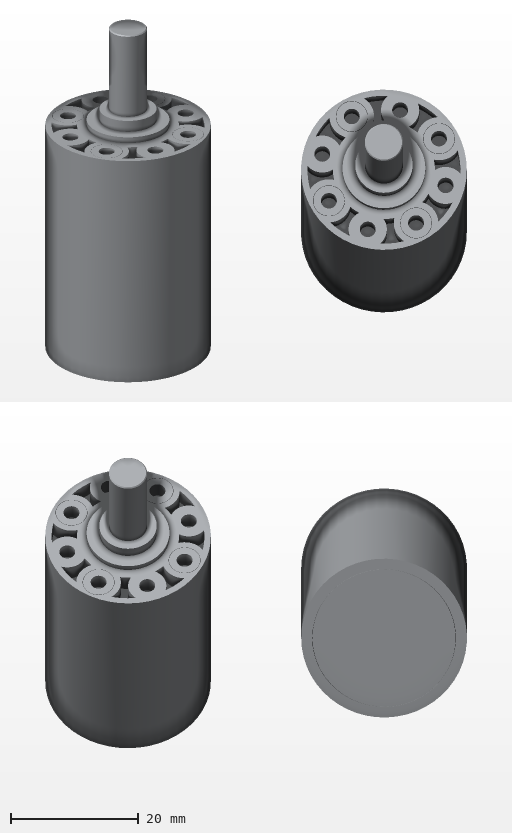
import cadquery as cq
import math

TOTAL_HEIGHT = 55.5
HOUSING_DIAMETER = 26.0

FLANGE_DIAMETER = 13.0
FLANGE_HEIGHT = 1.0
COLLAR_DIAMETER = 9.0
COLLAR_HEIGHT = 1.9

SHAFT_DIAMETER = 6.0
SHAFT_LENGTH = 14.1
SHAFT_CHAMFER = 0.15

HOLE_COUNT = 8
HOLE_CIRCLE_RADIUS = 10.0
HOLE_DIAMETER = 2.5
HOLE_DEPTH = 3.0

FIT_CLEARANCE = 0.1
BORE_DIAMETER = 22.55
CORE_DIAMETER = BORE_DIAMETER - FIT_CLEARANCE
END_WALL_THICKNESS = 4.0
POST_HOLE_DIAMETER = 5.0
POST_DIAMETER = POST_HOLE_DIAMETER - FIT_CLEARANCE

POCKET_OUTER_DIAMETER = 24.0
POCKET_INNER_DIAMETER = 16.0
POCKET_DEPTH = 3.0
POST_LAND_DIAMETER = 7.0
SCREW_LAND_DIAMETER = 6.0

COLLAR_TOP = TOTAL_HEIGHT - SHAFT_LENGTH
FLANGE_TOP = COLLAR_TOP - COLLAR_HEIGHT
FACE_HEIGHT = FLANGE_TOP - FLANGE_HEIGHT
BORE_TOP = FACE_HEIGHT - END_WALL_THICKNESS


def hole_centres(first):
    """Every second point of the hole circle, starting at index `first`."""
    angles = [2 * math.pi * i / HOLE_COUNT for i in range(first, HOLE_COUNT, 2)]
    return [(HOLE_CIRCLE_RADIUS * math.cos(a), HOLE_CIRCLE_RADIUS * math.sin(a)) for a in angles]


POST_CENTRES = hole_centres(0)
SCREW_CENTRES = hole_centres(1)


def cylinder(diameter, base, top):
    """Upright cylinder on the main axis."""
    return cq.Workplane("XY").workplane(offset=base).circle(diameter / 2).extrude(top - base)


def cylinders_below_face(centres, diameter, depth):
    """Equal cylinders reaching down from the housing face at the given points."""
    face = cq.Workplane("XY").workplane(offset=FACE_HEIGHT)
    return face.pushPoints(centres).circle(diameter / 2).extrude(-depth)


def make_pockets():
    floor = FACE_HEIGHT - POCKET_DEPTH
    ring = cylinder(POCKET_OUTER_DIAMETER, floor, FACE_HEIGHT)
    ring = ring.cut(cylinder(POCKET_INNER_DIAMETER, floor, FACE_HEIGHT))
    ring = ring.cut(cylinders_below_face(POST_CENTRES, POST_LAND_DIAMETER, POCKET_DEPTH))
    return ring.cut(cylinders_below_face(SCREW_CENTRES, SCREW_LAND_DIAMETER, POCKET_DEPTH))


def make_housing():
    """Cup open at the base, with the stepped boss and shaft on its end wall."""
    shaft = cylinder(SHAFT_DIAMETER, COLLAR_TOP, TOTAL_HEIGHT)
    shaft = shaft.faces(">Z").edges().chamfer(SHAFT_CHAMFER)

    body = cylinder(HOUSING_DIAMETER, 0, FACE_HEIGHT)
    body = body.union(cylinder(FLANGE_DIAMETER, FACE_HEIGHT, FLANGE_TOP))
    body = body.union(cylinder(COLLAR_DIAMETER, FLANGE_TOP, COLLAR_TOP))
    body = body.union(shaft)

    body = body.cut(cylinder(BORE_DIAMETER, 0, BORE_TOP))
    body = body.cut(make_pockets())
    body = body.cut(cylinders_below_face(POST_CENTRES, POST_HOLE_DIAMETER, END_WALL_THICKNESS))
    return body.cut(cylinders_below_face(SCREW_CENTRES, HOLE_DIAMETER, HOLE_DEPTH))


def make_core():
    """Cylinder filling the bore, with four drilled posts on its top."""
    body = cylinder(CORE_DIAMETER, 0, BORE_TOP)
    body = body.union(cylinders_below_face(POST_CENTRES, POST_DIAMETER, END_WALL_THICKNESS))
    return body.cut(cylinders_below_face(POST_CENTRES, HOLE_DIAMETER, HOLE_DEPTH))


housing = make_housing()
core = make_core()

result = cq.Compound.makeCompound([housing.solids().val(), core.solids().val()])